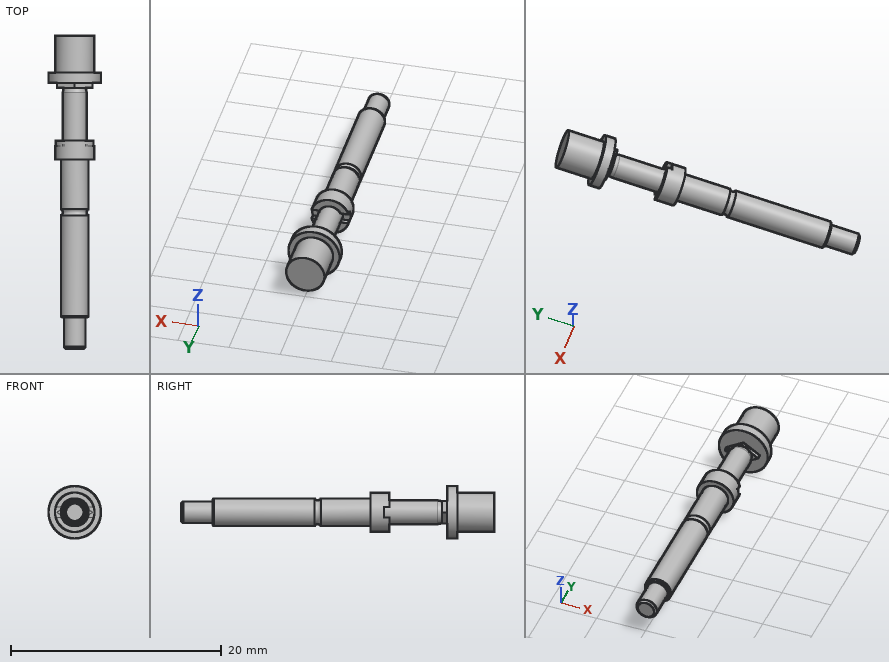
import cadquery as cq

head_radius = 1.88
flange_radius = 2.5
collar_radius = head_radius
shaft_radius = 1.325
neck_radius = 1.147
tip_radius = 1.05

head_length = 3.52
flange_length = 0.98
diamond_length = 0.48
neck_length = 5.0
collar_length = 1.82
rear_shaft_length = 4.7
groove_width = 0.6
front_shaft_length = 9.7
total_length = 29.8

shaft_chamfer = 0.15
tip_chamfer = 0.2
neck_lead_in_length = 0.42
neck_lead_in_depth = 0.1

diamond_half_width = 1.7
diamond_half_height = 1.07

slot_width = 1.0
slot_depth = 0.5

flange_start = head_length
diamond_start = flange_start + flange_length
neck_start = diamond_start + diamond_length
collar_start = neck_start + neck_length
shaft_start = collar_start + collar_length
groove_start = shaft_start + rear_shaft_length
groove_end = groove_start + groove_width
tip_start = groove_end + front_shaft_length
head_end_y = total_length / 2


def turned_section(radius, start, end):
    """Cylinder on the Y axis between two stations from the head end."""
    return (
        cq.Workplane("XZ", origin=(0, head_end_y - start, 0))
        .circle(radius)
        .extrude(end - start)
    )


def make_head():
    head = turned_section(head_radius, 0, flange_start)
    return head.union(turned_section(flange_radius, flange_start, diamond_start))


def make_diamond():
    return (
        cq.Workplane("XZ", origin=(0, head_end_y - diamond_start, 0))
        .moveTo(-diamond_half_width, 0)
        .lineTo(0, diamond_half_height)
        .lineTo(diamond_half_width, 0)
        .lineTo(0, -diamond_half_height)
        .close()
        .extrude(diamond_length)
    )


def make_neck():
    neck = turned_section(neck_radius, neck_start, collar_start + slot_depth)
    rear_edge = neck.faces(">Y").edges()
    return rear_edge.chamfer(neck_lead_in_length, neck_lead_in_depth)


def make_collar():
    collar = turned_section(collar_radius, collar_start, shaft_start)
    slot = cq.Workplane("XY").box(2 * collar_radius, slot_depth, slot_width)
    return collar.cut(slot.translate((0, head_end_y - collar_start - slot_depth / 2, 0)))


def make_groove_ring():
    """Ring removed from the shaft, leaving a groove with an arc-shaped floor."""
    rear_y = head_end_y - groove_start
    front_y = head_end_y - groove_end
    middle_y = (rear_y + front_y) / 2
    return (
        cq.Workplane("XY")
        .moveTo(shaft_radius, rear_y)
        .threePointArc((neck_radius, middle_y), (shaft_radius, front_y))
        .lineTo(flange_radius, front_y)
        .lineTo(flange_radius, rear_y)
        .close()
        .revolve(360, (0, 0, 0), (0, 1, 0))
    )


def make_shaft():
    shaft = turned_section(shaft_radius, shaft_start, tip_start)
    shaft = shaft.faces("<Y").edges().chamfer(shaft_chamfer)
    return shaft.cut(make_groove_ring())


def make_tip():
    tip = turned_section(tip_radius, tip_start, total_length)
    return tip.faces("<Y").edges().chamfer(tip_chamfer)


result = (
    make_head()
    .union(make_diamond())
    .union(make_neck())
    .union(make_collar())
    .union(make_shaft())
    .union(make_tip())
)